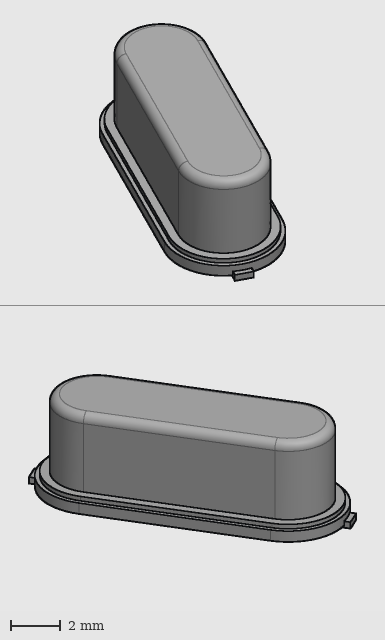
import cadquery as cq

overall_length = 13.5
overall_height = 4.3

arc_center_spacing = 8.03
flange_width = 5.0
step_width = 4.6
can_width = 3.81

flange_bottom = 0.1
flange_top = 0.6
step_top = 0.8
can_edge_radius = 0.39

lead_width = 0.8
lead_thickness = 0.3
lead_inner_gap = 4.45


def slot_layer(width, bottom, top):
    """Solid with a slot outline of the given width, between two heights."""
    return (
        cq.Workplane("XY")
        .workplane(offset=bottom)
        .slot2D(arc_center_spacing + width, width)
        .extrude(top - bottom)
    )


def lead(side):
    """Lead strip on the -X (side = -1) or +X (side = 1) end."""
    length = (overall_length - lead_inner_gap) / 2
    center_x = side * (overall_length + lead_inner_gap) / 4
    return (
        cq.Workplane("XY")
        .center(center_x, 0)
        .rect(length, lead_width)
        .extrude(lead_thickness)
    )


flange = slot_layer(flange_width, flange_bottom, flange_top)
step = slot_layer(step_width, flange_top, step_top)
can = slot_layer(can_width, step_top, overall_height).faces(">Z").edges().fillet(can_edge_radius)

result = flange.union(step).union(can)
for side in (-1, 1):
    result = result.union(lead(side))